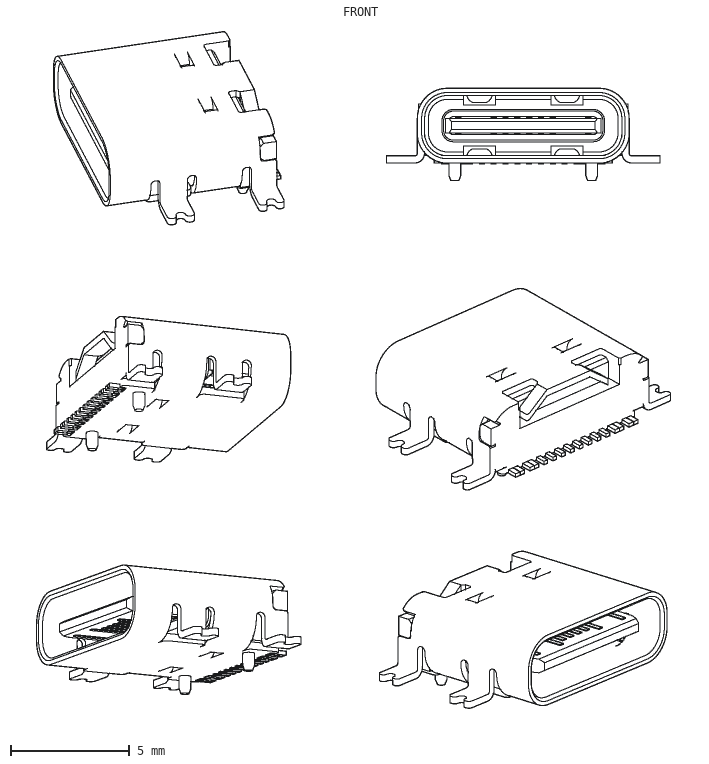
import cadquery as cq
import math


overcut = 0.12
flare_angle = 45.0

shell_width = 8.94
shell_height = 3.16
shell_length = 7.29
corner_radius = 1.27
wall = 0.31
mouth_chamfer = 0.13
half_width = shell_width / 2
inner_half_width = half_width - wall
mid_z = shell_height / 2
roof_z = shell_height - wall
inner_radius = corner_radius - wall

overall_width = 11.54
leg_bend_radius = 0.1
slot_width = 0.4
front_leg = (2.18, 3.37)
rear_leg = (6.19, shell_length)
pad_notch_width = 0.39
lobe_roundness = 0.48
floor_tab_half_width = 3.76
floor_tab_corner = 0.21

spring_x = 1.85
spring_y = (4.73, 5.3)
spring_window_half = 0.58
spring_depth = 0.43
spring_top_half = 0.53
spring_foot_half = 0.29
spring_drop = 0.29
spring_shoulder_half = 0.45
spring_shoulder_drop = 0.17
spring_end_wall = 0.12
pocket_half = 0.67
pocket_depth = 0.4
pocket_end_y = 5.54

notch_x = (1.07, 2.8)
notch_start_y = 6.1
notch_corner = 0.12
mouth_flare = 0.08
wing_root_x = 1.21
wing_tip_x = 2.28
wing_y = (6.59, 7.22)
wing_root_corner = 0.14
wing_angle = 38.0

housing_front_y = 4.15
housing_rear_y = shell_length
housing_square_y = rear_leg[0] - slot_width
housing_chamfer = 0.16
step_y = (6.44, 6.59)
step_floor_z = 1.9

ear_half_width = 4.42
ear_z = (1.65, 2.5)
ear_start_y = 6.58
ear_corner = 0.15

tongue_tip_y = 0.35
tongue_half_height = 0.31
tongue_tip_half = 3.04
tongue_root_half = 3.28
tongue_corner_length = 0.58
tongue_chamfer_length = 0.23
tongue_chamfer_drop = 0.14
base_front_y = 3.0
base_full_y = 3.29
base_half_width = 3.36
base_half_height = 0.61
base_front_half_height = 0.38
base_corner = 0.4
base_flare = 0.07

single_terminals = 8
terminal_row_span = 3.5
contact_pitch = terminal_row_span / (single_terminals - 1)
contact_width = 0.23
contact_height = 0.03
long_contact_y = 0.92
short_contact_y = 1.21
terminal_width = 0.21
paired_terminal_width = 0.24
split_pair = (3.19, 0.02)
close_pair = (2.39, 0.01)
terminal_z = (-0.03, 0.14)
terminal_start_y = 7.03
overall_length = 7.75
peg_x = 2.88
peg_y = 6.24
peg_radius = 0.25
peg_tip_radius = 0.17
peg_round_z = -0.51
peg_shoulder_radius = 0.23
peg_shoulder_z = -0.58
peg_tip_z = -0.74


def block(x, y, z):
    """Box spanning the given (low, high) pairs along each axis."""
    size = [high - low for low, high in (x, y, z)]
    return cq.Workplane("XY").box(*size, centered=False).translate((x[0], y[0], z[0]))


def both_sides(body):
    """The body together with its mirror image across X = 0."""
    return body.union(body.mirror("YZ"))


def above_and_below(body):
    """The body together with its mirror image across the mid height."""
    return body.union(body.mirror("XY", (0, 0, mid_z)))


def xz_plane(y):
    """Workplane at the given Y whose local axes are X and Z, facing -Y."""
    return cq.Workplane("XZ", origin=(0, y, 0))


def rounded_prism(half_w, half_h, radius, y):
    """Rounded rectangle about the mid height, extruded along Y."""
    prism = xz_plane(y[1]).center(0, mid_z).rect(2 * half_w, 2 * half_h).extrude(y[1] - y[0])
    return prism.edges("|Y").fillet(radius)


def make_shell():
    outer = rounded_prism(half_width, mid_z, corner_radius, (0, shell_length))
    inner = rounded_prism(inner_half_width, mid_z - wall, inner_radius, (0, shell_length))
    shell = outer.cut(inner)
    margin = wall / 2
    inner_mouth = cq.selectors.BoxSelector(
        (-inner_half_width - margin, -margin, wall - margin),
        (inner_half_width + margin, margin, roof_z + margin),
        boundingbox=True,
    )
    return shell.edges(inner_mouth).chamfer(mouth_chamfer)


def leg_clearance(y):
    """Lower shell corner removed around one leg, with a round-topped slot on each open side."""
    x = (floor_tab_half_width - corner_radius / 2, half_width + overcut)
    low, high = y[0] - slot_width, y[1] + slot_width
    cut = block(x, (low, high), (-overcut, corner_radius))
    for slot_y in (low + slot_width / 2, high - slot_width / 2):
        slot_top = cq.Workplane("YZ", origin=(inner_half_width - overcut, slot_y, corner_radius))
        cut = cut.union(slot_top.circle(slot_width / 2).extrude(wall + 2 * overcut))
    return cut


def floor_tab(y):
    """Flat stretch of the shell floor left between the relief slots."""
    low, high = y[0] - slot_width, min(y[1] + slot_width, shell_length)
    tab = block((-floor_tab_half_width, floor_tab_half_width), (low, high), (0, wall))
    return tab.edges("|Z").fillet(floor_tab_corner)


def leg(y):
    """Leg running down the side wall and bending outwards into a notched pad."""
    outer_bend = leg_bend_radius + wall
    width = y[1] - y[0]
    bend_x = half_width + leg_bend_radius
    pad_x = overall_width / 2
    diagonal = math.sqrt(0.5)
    body = (
        xz_plane(y[1])
        .moveTo(inner_half_width, corner_radius)
        .lineTo(inner_half_width, outer_bend)
        .threePointArc(
            (bend_x - outer_bend * diagonal, outer_bend * (1 - diagonal)),
            (bend_x, 0),
        )
        .lineTo(pad_x, 0)
        .lineTo(pad_x, wall)
        .lineTo(bend_x, wall)
        .threePointArc(
            (bend_x - leg_bend_radius * diagonal, outer_bend - leg_bend_radius * diagonal),
            (half_width, outer_bend),
        )
        .lineTo(half_width, corner_radius)
        .close()
        .extrude(width)
    )
    lobe_width = (width - pad_notch_width) / 2
    lobe_radius = lobe_roundness * lobe_width
    notch = (
        cq.Workplane("XY", origin=(pad_x, sum(y) / 2, -overcut))
        .slot2D(2 * pad_notch_width, pad_notch_width)
        .extrude(wall + 2 * overcut)
    )
    return body.cut(notch).edges("|Z and >X").fillet(lobe_radius)


def spring_window():
    """Opening of one pressed spring: rolled-over edges down to a flat floor."""
    floor_z = shell_height - spring_depth
    floor_half = spring_window_half - wall
    mid_offset = wall * math.sqrt(0.5)
    mid_x = spring_window_half - mid_offset
    mid_arc_z = roof_z + mid_offset
    return (
        xz_plane(spring_y[1])
        .moveTo(-spring_window_half, shell_height)
        .threePointArc((-mid_x, mid_arc_z), (-floor_half, roof_z))
        .lineTo(-floor_half, floor_z)
        .lineTo(floor_half, floor_z)
        .lineTo(floor_half, roof_z)
        .threePointArc((mid_x, mid_arc_z), (spring_window_half, shell_height))
        .close()
        .extrude(spring_y[1] - spring_y[0])
        .translate((spring_x, 0, 0))
    )


def spring_bump():
    """Bulge of one pressed spring below the roof, closed by a wall at each end of the window."""
    low, high = spring_y[0] - spring_end_wall, spring_y[1] + spring_end_wall
    foot_z = roof_z - spring_drop
    shoulder_z = roof_z - spring_shoulder_drop
    return (
        xz_plane(high)
        .moveTo(-spring_top_half, roof_z)
        .threePointArc((-spring_shoulder_half, shoulder_z), (-spring_foot_half, foot_z))
        .lineTo(spring_foot_half, foot_z)
        .threePointArc((spring_shoulder_half, shoulder_z), (spring_top_half, roof_z))
        .close()
        .extrude(high - low)
        .translate((spring_x, 0, 0))
    )


def roof_notch():
    """Notch at the rear of the roof, leaving room for the bent wing."""
    z = (roof_z - overcut, shell_height + overcut)
    notch = block(notch_x, (notch_start_y, shell_length + overcut), z)
    notch = notch.edges("|Z and <Y").fillet(notch_corner)
    root = block((0, wing_root_x), (wing_y[0] - wing_root_corner, wing_y[1]), z)
    root = root.edges("|Z and >X and <Y").chamfer(wing_root_corner)
    flare = (
        cq.Workplane("XY", origin=(0, 0, z[0]))
        .polyline([
            (notch_x[1], shell_length - mouth_flare),
            (notch_x[1] + mouth_flare, shell_length),
            (notch_x[1], shell_length),
        ])
        .close()
        .extrude(z[1] - z[0])
    )
    trim = block((0, notch_x[1]), (wing_y[1], shell_length + overcut), z)
    return notch.cut(root).union(flare).union(trim)


def roof_wing():
    """Wing bent down and outwards from the rear of the roof."""
    drop = (wing_tip_x - wing_root_x) * math.tan(math.radians(wing_angle))
    wing = (
        xz_plane(wing_y[1])
        .polyline([
            (wing_root_x, shell_height),
            (wing_tip_x, shell_height - drop),
            (wing_tip_x, roof_z - drop),
            (wing_root_x, roof_z),
        ])
        .close()
        .extrude(wing_y[1] - wing_y[0])
    )
    return wing.edges("|Z and >X").fillet(notch_corner)


def ear_window():
    """Opening through the shell side around an ear, flared at the rear edge.

    Its top face is radial to the corner bend of the shell.
    """
    centre_x = half_width - corner_radius
    centre_z = shell_height - corner_radius
    rise = (ear_z[1] - centre_z) / inner_radius
    run = math.sqrt(1 - rise ** 2)
    reach = corner_radius + overcut
    outline = [
        (inner_half_width - wall, ear_z[0]),
        (centre_x + inner_radius / 2 * run, centre_z + inner_radius / 2 * rise),
        (centre_x + reach * run, centre_z + reach * rise),
        (half_width + overcut, centre_z + reach * rise),
        (half_width + overcut, ear_z[0]),
    ]
    opening = xz_plane(shell_length).polyline(outline).close().extrude(shell_length - ear_start_y)
    front_low = (half_width, ear_start_y, ear_z[0])
    front_high = (centre_x + corner_radius * run, ear_start_y, centre_z + corner_radius * rise)
    for corner in (front_low, front_high):
        opening = opening.edges(cq.selectors.NearestToPointSelector(corner)).fillet(ear_corner)
    flare = (
        xz_plane(shell_length)
        .polyline(outline)
        .close()
        .offset2D(mouth_flare, "intersection")
        .extrude(mouth_flare, taper=flare_angle)
    )
    return opening.union(flare)


def ear():
    body = block((inner_half_width - wall, ear_half_width), (ear_start_y, housing_rear_y), ear_z)
    return body.edges("|X and <Y").chamfer(ear_corner)


def make_housing():
    front = rounded_prism(
        inner_half_width, mid_z - wall, inner_radius, (housing_front_y, housing_rear_y)
    )
    front = front.faces("<Y").chamfer(housing_chamfer)
    square = block(
        (-inner_half_width, inner_half_width), (housing_square_y, housing_rear_y), (wall, mid_z)
    )
    pocket = block(
        (spring_x - pocket_half, spring_x + pocket_half),
        (housing_front_y, pocket_end_y),
        (roof_z - pocket_depth, roof_z),
    )
    rear_step = (
        cq.Workplane("YZ", origin=(-notch_x[1], 0, 0))
        .polyline([
            (step_y[0], roof_z),
            (step_y[1], roof_z - (step_y[1] - step_y[0])),
            (step_y[1], step_floor_z),
            (housing_rear_y, step_floor_z),
            (housing_rear_y, roof_z),
        ])
        .close()
        .extrude(2 * notch_x[1])
    )
    return front.union(square).cut(above_and_below(both_sides(pocket))).cut(rear_step)


def make_tongue():
    plan = (
        cq.Workplane("XY", origin=(0, 0, mid_z - tongue_half_height))
        .polyline([
            (-tongue_tip_half, tongue_tip_y),
            (tongue_tip_half, tongue_tip_y),
            (tongue_root_half, tongue_tip_y + tongue_corner_length),
            (tongue_root_half, housing_front_y),
            (-tongue_root_half, housing_front_y),
            (-tongue_root_half, tongue_tip_y + tongue_corner_length),
        ])
        .close()
        .extrude(2 * tongue_half_height)
    )
    tip = (
        cq.Workplane("YZ", origin=(-tongue_root_half, 0, 0))
        .polyline([
            (tongue_tip_y, mid_z + tongue_half_height),
            (tongue_tip_y + tongue_chamfer_length, mid_z + tongue_half_height),
            (tongue_tip_y, mid_z + tongue_half_height - tongue_chamfer_drop),
        ])
        .close()
        .extrude(2 * tongue_root_half)
    )
    return plan.cut(above_and_below(tip))


def make_tongue_base():
    """Thick root of the tongue: a tapered front and a small flare against the housing."""
    base = rounded_prism(
        base_half_width, base_half_height, base_corner, (base_front_y, housing_front_y)
    )
    inset = base_half_height - base_front_half_height
    base = base.faces("<Y").chamfer(base_full_y - base_front_y, inset)
    flare = (
        xz_plane(housing_front_y)
        .center(0, mid_z)
        .sketch()
        .rect(2 * (base_half_width + base_flare), 2 * (base_half_height + base_flare))
        .vertices()
        .fillet(base_corner + base_flare)
        .finalize()
        .extrude(base_flare, taper=flare_angle)
    )
    return base.union(flare)


def contact(position, start_y):
    """Contact strip at a position counted in pitches from the centre line."""
    x = position * contact_pitch
    surface_z = mid_z + tongue_half_height
    return block(
        (x - contact_width / 2, x + contact_width / 2),
        (start_y, base_full_y),
        (surface_z - contact_height, surface_z + contact_height),
    )


def terminal(x, width):
    return block((x - width / 2, x + width / 2), (terminal_start_y, overall_length), terminal_z)


def peg():
    return (
        cq.Workplane("XZ", origin=(peg_x, peg_y, 0))
        .moveTo(0, wall)
        .lineTo(peg_radius, wall)
        .lineTo(peg_radius, peg_round_z)
        .tangentArcPoint((peg_shoulder_radius, peg_shoulder_z), relative=False)
        .lineTo(peg_tip_radius, peg_tip_z)
        .lineTo(0, peg_tip_z)
        .close()
        .revolve(360, (0, 0, 0), (0, 1, 0))
    )


shell = make_shell()
for leg_y in (front_leg, rear_leg):
    shell = shell.cut(both_sides(leg_clearance(leg_y)))
    shell = shell.union(floor_tab(leg_y)).union(both_sides(leg(leg_y)))
shell = shell.cut(both_sides(roof_notch())).cut(both_sides(ear_window()))
shell = shell.union(both_sides(roof_wing()))

result = shell.union(make_housing()).union(both_sides(ear()))
result = result.union(make_tongue()).union(make_tongue_base())
result = result.union(above_and_below(both_sides(spring_bump())))
result = result.cut(above_and_below(both_sides(spring_window())))

for position in (0.5, 1.5):
    result = result.union(above_and_below(both_sides(contact(position, short_contact_y))))
for position in (2.5, 5.5):
    result = result.union(above_and_below(both_sides(contact(position, long_contact_y))))
for index in range(single_terminals // 2):
    result = result.union(both_sides(terminal((index + 0.5) * contact_pitch, terminal_width)))
for pair_x, gap in (split_pair, close_pair):
    offset = (paired_terminal_width + gap) / 2
    for x in (pair_x - offset, pair_x + offset):
        result = result.union(both_sides(terminal(x, paired_terminal_width)))

result = result.union(both_sides(peg()))